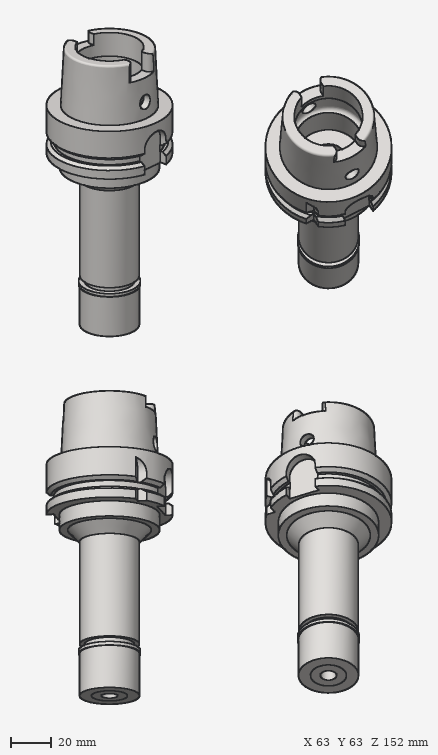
import cadquery as cq
import math

total_height = 152.0
flange_top_z = 120.1
groove_top_z = 105.5
groove_bottom_z = 98.6
flange_bottom_z = 94.0
collar_bottom_z = 86.0
cone_bottom_z = 80.0
shank_bottom_z = 26.8
nut_top_z = 23.7
nut_rim_bottom_z = 21.9
nose_bottom_z = 6.1

flange_diameter = 63.0
taper_base_diameter = 48.6
taper_top_diameter = 45.6
taper_edge_radius = 1.2
groove_diameter = 55.6
groove_bevel_depth = 2.1
groove_upper_bevel_height = 1.8
groove_lower_bevel_height = 1.5
collar_diameter = 50.0
cone_top_diameter = 41.6
shank_diameter = 29.8
nose_diameter = 25.0

mouth_diameter = 34.0
mouth_depth = 12.9
chamber_diameter = 39.2
chamber_bottom_z = 124.2
chamber_corner_radius = 2.3
cavity_floor_z = 106.4
collet_diameter = 18.0

rim_slot_width = 12.5
rim_slot_flare_start_x = 18.1
rim_slot_flare_radius = 3.0
left_rim_slot_depth = 6.1
right_rim_slot_depth = 10.0

cross_hole_diameter = 7.6
cross_hole_z = 129.0

drive_slot_width = 16.1
drive_slot_top_z = 115.2
drive_slot_floor_x = 26.8
notch_wall = 19.9
notch_top_z = 116.5
notch_end_radius = 8.0

nut_diameter = 30.0
nut_rim_diameter = 30.9
collet_hole_diameter = 8.0
collet_top_z = 42.5


def disc(diameter, bottom_z, top_z):
    """Upright cylinder on the tool axis."""
    return cq.Workplane("XY", origin=(0, 0, bottom_z)).circle(diameter / 2).extrude(top_z - bottom_z)


def holder_blank():
    """Turned outside of the holder, from the nose up to the rounded rim of the taper."""
    flange_radius = flange_diameter / 2
    bevel_radius = flange_radius - groove_bevel_depth
    upper_bevel_z = groove_top_z - groove_upper_bevel_height
    lower_bevel_z = groove_bottom_z + groove_lower_bevel_height
    profile = [
        (0, nose_bottom_z),
        (nose_diameter / 2, nose_bottom_z),
        (nose_diameter / 2, shank_bottom_z),
        (shank_diameter / 2, shank_bottom_z),
        (shank_diameter / 2, cone_bottom_z),
        (cone_top_diameter / 2, collar_bottom_z),
        (collar_diameter / 2, collar_bottom_z),
        (collar_diameter / 2, flange_bottom_z),
        (flange_radius, flange_bottom_z),
        (flange_radius, groove_bottom_z),
        (bevel_radius, lower_bevel_z),
        (groove_diameter / 2, lower_bevel_z),
        (groove_diameter / 2, upper_bevel_z),
        (bevel_radius, upper_bevel_z),
        (flange_radius, groove_top_z),
        (flange_radius, flange_top_z),
        (taper_base_diameter / 2, flange_top_z),
        (taper_top_diameter / 2, total_height),
        (0, total_height),
    ]
    blank = cq.Workplane("XZ").polyline(profile).close().revolve(360, (0, 0), (0, 1))
    return blank.faces(">Z").edges().fillet(taper_edge_radius)


def holder_cavity():
    """Mouth, round-cornered undercut chamber part way down it, and the bore for the collet."""
    mouth = disc(mouth_diameter, cavity_floor_z, total_height)
    chamber = disc(chamber_diameter, chamber_bottom_z, total_height - mouth_depth)
    chamber = chamber.faces("<Z").edges().fillet(chamber_corner_radius)
    bore = disc(collet_diameter, nose_bottom_z, cavity_floor_z)
    return mouth.union(chamber).union(bore)


def rim_slot(side, depth):
    """Slot in the rim on one X side, flaring outwards round its two corners."""
    half_width = rim_slot_width / 2
    flare_end_x = rim_slot_flare_start_x + rim_slot_flare_radius
    flare_width = half_width + rim_slot_flare_radius
    bend = rim_slot_flare_radius * math.sin(math.radians(45))
    mid_x = rim_slot_flare_start_x + bend
    mid_y = flare_width - bend
    outer_x = taper_base_diameter / 2
    outline = (
        cq.Workplane("XY", origin=(0, 0, total_height - depth))
        .moveTo(0, -half_width)
        .lineTo(rim_slot_flare_start_x, -half_width)
        .threePointArc((mid_x, -mid_y), (flare_end_x, -flare_width))
        .lineTo(outer_x, -flare_width)
        .lineTo(outer_x, flare_width)
        .lineTo(flare_end_x, flare_width)
        .threePointArc((mid_x, mid_y), (rim_slot_flare_start_x, half_width))
        .lineTo(0, half_width)
        .close()
    )
    slot = outline.extrude(depth)
    return slot if side > 0 else slot.mirror("YZ")


def cross_hole():
    """Radial hole along X through both walls of the taper."""
    length = flange_diameter
    return (
        cq.Workplane("YZ", origin=(-length / 2, 0, cross_hole_z))
        .circle(cross_hole_diameter / 2)
        .extrude(length)
    )


def round_topped_cut(center_y, radius, top_z, floor_x):
    """Cut into the -X side of the flange, flat-floored, with a half-round upper end."""
    center_z = top_z - radius
    height = center_z - flange_bottom_z
    depth = flange_diameter / 2 - floor_x
    plane = cq.Workplane("YZ", origin=(-flange_diameter / 2, center_y, center_z))
    round_end = plane.circle(radius).extrude(depth)
    straight = plane.center(0, -height / 2).rect(2 * radius, height).extrude(depth)
    return round_end.union(straight)


def make_holder():
    drive_slot = round_topped_cut(0, drive_slot_width / 2, drive_slot_top_z, drive_slot_floor_x)
    notch = round_topped_cut(notch_wall + notch_end_radius, notch_end_radius, notch_top_z, notch_wall)
    return (
        holder_blank()
        .cut(holder_cavity())
        .cut(rim_slot(-1, left_rim_slot_depth))
        .cut(rim_slot(1, right_rim_slot_depth))
        .cut(cross_hole())
        .cut(drive_slot)
        .cut(drive_slot.mirror("YZ"))
        .cut(notch)
    )


def make_collet():
    """Straight sleeve held in the bore of the holder and the mouth of the nut."""
    return disc(collet_diameter, 0, collet_top_z).cut(disc(collet_hole_diameter, 0, collet_top_z))


def make_nut():
    """Cap round the nose of the holder, with a slightly wider rim at its upper end."""
    body = disc(nut_diameter, 0, nut_rim_bottom_z)
    rim = disc(nut_rim_diameter, nut_rim_bottom_z, nut_top_z)
    nose_socket = disc(nose_diameter, nose_bottom_z, nut_top_z)
    collet_opening = disc(collet_diameter, 0, nose_bottom_z)
    return body.union(rim).cut(nose_socket).cut(collet_opening)


holder = make_holder()
collet = make_collet()
nut = make_nut()

result = cq.Compound.makeCompound([holder.val(), collet.val(), nut.val()])